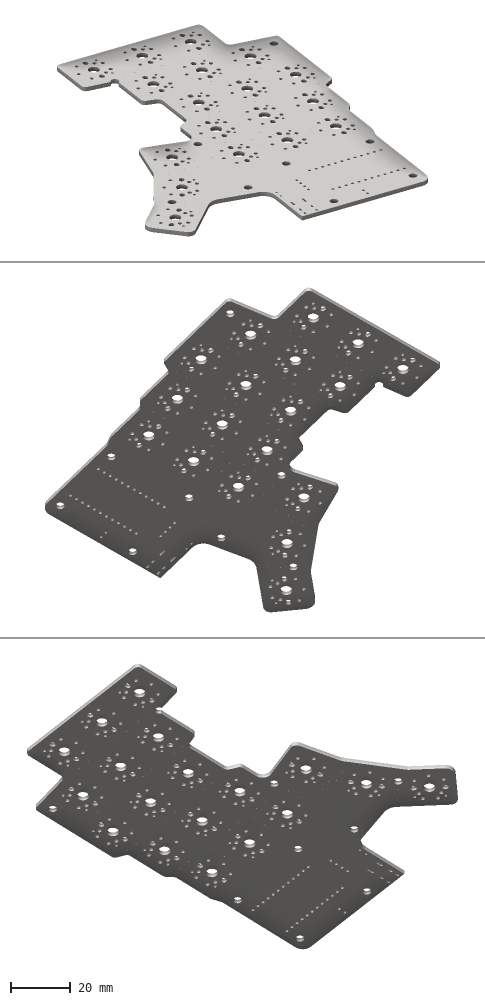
import cadquery as cq
import math

LENGTH = 134.0
WIDTH = 107.3
THICKNESS = 1.6

KEY_PITCH = 19.0
KEYS_PER_COLUMN = 3
FIRST_COLUMN_X = 9.2
COLUMN_BASES = [41.8, 53.7, 60.0, 55.3, 52.8]
THUMB_KEYS = [(75.7, 32.4, -15), (95.5, 24.3, -30), (112.6, 11.4, -45)]

STEM_DIAMETER = 4.0
INNER_POST_X = 5.1
INNER_POST_DIAMETER = 1.7
OUTER_POST_X = 5.5
OUTER_POST_DIAMETER = 1.9
CONTACT_DIAMETER = 1.5
CONTACTS = [(2.5, 5.1), (3.8, 2.5)]
LOW_PIN_DIAMETER = 1.27
LOW_SIDE_PIN = (5.0, -3.8)
LOW_CENTRE_PIN = (0, -5.9)
LOCATOR_DIAMETER = 1.0
LOCATOR = (5.2, 4.2)

SCREW_DIAMETER = 3.0
SCREW_HOLES = [
    (24.8, 103.2), (100.6, 95.0), (128.6, 95.0), (99.3, 63.0), (130.3, 63.0),
    (72.2, 44.6), (107.1, 43.3), (102.7, 16.1), (19.8, 43.7),
]

PIN_PITCH = 2.5
CONTROLLER_PINS = 12
CONTROLLER_PIN_DIAMETER = 1.09
CONTROLLER_ROWS_X = (107.6, 122.9)
CONTROLLER_FIRST_Y = 67.1
HEADER_DIAMETER = 1.0
DISPLAY_PINS = 4
DISPLAY_START = (111.2, 59.9)
RESET_PINS = 2
RESET_START = (128.9, 75.5)

JACK_ROWS_Y = (50.3, 54.8)
JACK_SLOT_WIDTH = 0.72
JACK_SLOTS = [(124.6, 2.5), (129.6, 1.5), (132.5, 1.5)]
JACK_PINS = [(115.2, 49.6), (118.0, 49.6)]
JACK_PIN_DIAMETER = 0.72

VIA_DIAMETER = 0.3
VIA_SPACING = 4.4
VIA_PAIRS = [
    (18.4, 80.3, 90), (18.4, 60.8, 90), (18.1, 50.3, 90),
    (37.3, 92.3, 90), (36.9, 68.9, 90), (37.3, 53.6, 90),
    (56.7, 99.2, 90), (56.3, 78.9, 90), (56.4, 60.5, 90),
    (75.8, 94.1, 90), (75.8, 68.9, 90), (75.8, 55.3, 90),
    (81.0, 82.1, 0), (80.8, 61.8, 0), (80.5, 44.0, 0),
    (85.8, 33.8, 75), (86.2, 27.2, 75), (106.8, 20.9, 50),
]

OUTLINE = [
    (0, 89.3, 1.7), (17.8, 89.3, 2.0), (20.4, WIDTH, 1.3),
    (56.0, WIDTH, 1.3), (58.4, 102.9, 1.3), (74.6, 102.9, 2.0), (77.6, 100.5, 2.0),
    (93.5, 100.5, 2.7), (97.4, 99.2, 2.7), (LENGTH, 99.2, 3.6), (LENGTH, 48.2, 0),
    (112.6, 48.2, 4.7), (108.5, 27.6, 5.4), (125.2, 11.0, 2.5),
    (112.6, -1.5, 3.6), (101.3, 9.8, 5.4), (81.9, 21.3, 5.4), (64.3, 25.7, 2.1),
    (69.4, 45.8, 3.2), (58.4, 45.8, 1.6), (55.9, 50.4, 1.6),
    (38.5, 50.4, 1.7), (36.9, 44.4, 1.7), (19.8, 44.4, 0), (18.4, 32.3, 1.7), (0, 32.3, 1.6),
]


def toward(start, end, distance):
    """Point at a distance from start on the straight line to end."""
    share = distance / math.dist(start, end)
    return tuple(a + (b - a) * share for a, b in zip(start, end))


def corner_points(before, corner, after, radius):
    """Start, middle and end of the arc that rounds a corner."""
    turn = math.atan2(after[1] - corner[1], after[0] - corner[0])
    turn -= math.atan2(before[1] - corner[1], before[0] - corner[0])
    half_angle = math.acos(math.cos(turn)) / 2
    setback = radius / math.tan(half_angle)
    start = toward(corner, before, setback)
    end = toward(corner, after, setback)
    chord_middle = tuple((a + b) / 2 for a, b in zip(start, end))
    corner_to_arc = radius / math.sin(half_angle) - radius
    return start, toward(corner, chord_middle, corner_to_arc), end


def rounded_plate(corners, height):
    """Plate with the given corners, each rounded to its own radius."""
    path = cq.Workplane("XY")
    for index, (x, y, radius) in enumerate(corners):
        before = corners[index - 1][:2]
        after = corners[(index + 1) % len(corners)][:2]
        if radius:
            start, middle, end = corner_points(before, (x, y), after, radius)
            path = path.lineTo(*start) if index else path.moveTo(*start)
            path = path.threePointArc(middle, end)
        else:
            path = path.lineTo(x, y)
    return path.close().extrude(height)


def holes(points, diameter):
    """Cylinders that cut round through holes."""
    return cq.Workplane("XY").pushPoints(points).circle(diameter / 2).extrude(THICKNESS).vals()


def place(points, x, y, angle):
    """Points turned by an angle in degrees and then moved to (x, y)."""
    cosine = math.cos(math.radians(angle))
    sine = math.sin(math.radians(angle))
    return [(x + u * cosine - v * sine, y + u * sine + v * cosine) for u, v in points]


def both_sides(points):
    """Points together with their mirror images across the Y axis."""
    return points + [(-x, y) for x, y in points]


def row(start, count, step):
    """Points that repeat at a fixed step."""
    return [(start[0] + i * step[0], start[1] + i * step[1]) for i in range(count)]


def key_cutters():
    keys = list(THUMB_KEYS)
    for column, base_y in enumerate(COLUMN_BASES):
        column_x = FIRST_COLUMN_X + column * KEY_PITCH
        keys += [(column_x, base_y + i * KEY_PITCH, 0) for i in range(KEYS_PER_COLUMN)]
    footprint = [
        ([(0, 0)], STEM_DIAMETER),
        (both_sides([(INNER_POST_X, 0)]), INNER_POST_DIAMETER),
        (both_sides([(OUTER_POST_X, 0)]), OUTER_POST_DIAMETER),
        (both_sides(CONTACTS), CONTACT_DIAMETER),
        (both_sides([LOW_SIDE_PIN]) + [LOW_CENTRE_PIN], LOW_PIN_DIAMETER),
        (both_sides([LOCATOR]), LOCATOR_DIAMETER),
    ]
    cutters = []
    for key in keys:
        for points, diameter in footprint:
            cutters += holes(place(points, *key), diameter)
    return cutters


def header_cutters():
    cutters = []
    for x in CONTROLLER_ROWS_X:
        pins = row((x, CONTROLLER_FIRST_Y), CONTROLLER_PINS, (0, PIN_PITCH))
        cutters += holes(pins, CONTROLLER_PIN_DIAMETER)
    cutters += holes(row(DISPLAY_START, DISPLAY_PINS, (PIN_PITCH, 0)), HEADER_DIAMETER)
    cutters += holes(row(RESET_START, RESET_PINS, (PIN_PITCH, 0)), HEADER_DIAMETER)
    return cutters


def jack_cutters():
    cutters = holes(JACK_PINS, JACK_PIN_DIAMETER)
    for x, length in JACK_SLOTS:
        slots = cq.Workplane("XY").pushPoints([(x, y) for y in JACK_ROWS_Y])
        cutters += slots.slot2D(length, JACK_SLOT_WIDTH).extrude(THICKNESS).vals()
    return cutters


def via_cutters():
    pair = both_sides([(VIA_SPACING / 2, 0)])
    cutters = []
    for x, y, angle in VIA_PAIRS:
        cutters += holes(place(pair, x, y, angle), VIA_DIAMETER)
    return cutters


plate = rounded_plate(OUTLINE, THICKNESS).val()
screw_cutters = holes(SCREW_HOLES, SCREW_DIAMETER)
cutters = screw_cutters + key_cutters() + header_cutters() + jack_cutters() + via_cutters()
result = cq.Workplane("XY").newObject([plate.cut(*cutters)])